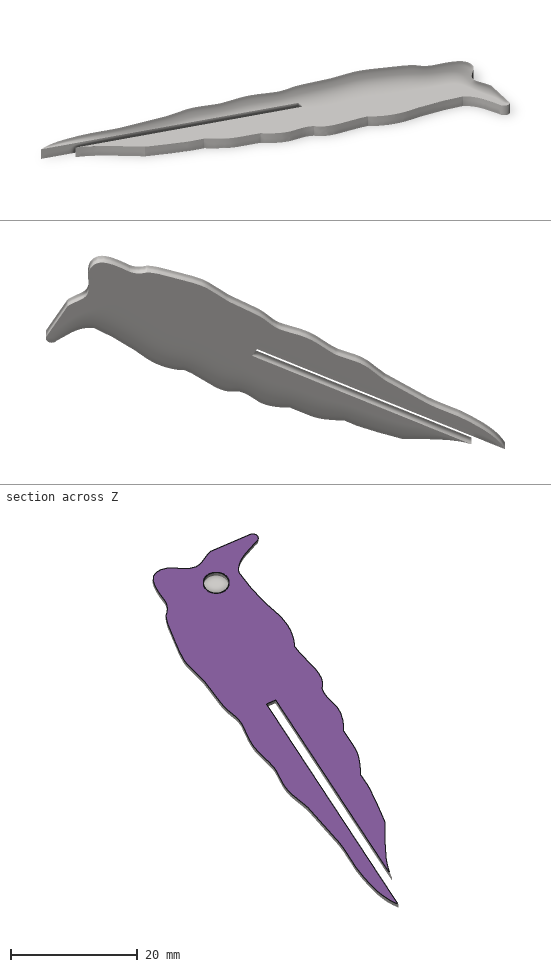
import cadquery as cq


board_width = 21.6
board_length = 75.35
half_width = board_width / 2
half_length = board_length / 2

total_thickness = 1.65
coating_thickness = 0.1
core_thickness = total_thickness - 2 * coating_thickness
core_top = core_thickness / 2
core_bottom = -core_top

slot_left = -3.3
slot_right = -1.7
slot_top = 6.6
left_leg_tip_y = -half_length
right_leg_tip_y = -32.5

pad_width = 4.1
pad_length = 10.0
pad_center_x = slot_right + pad_width / 2
upper_pad_y = 21.9
lower_pad_y = -7.4

eye_center = (0.75, 31.3)
flange_diameter = 4.5
eye_hole_diameter = 4.0
plating_bore_diameter = 3.9
flange_thickness = coating_thickness / 2

left_side = [
    (-4.75, -34.9), (-5.5, -31.65), (-5.9, -27.9), (-5.9, -23.35), (-6.55, -18.1), (-7.15, -13.95),
    (-8.15, -10.7), (-8.4, -8.3), (-8.15, -4.9), (-8.6, -2.5), (-9.05, 0.4), (-8.9, 3.0),
    (-8.7, 6.0), (-9.35, 8.5), (-9.7, 12.4), (-10.0, 15.7), (-half_width, 20.0), (-10.4, 24.1),
    (-9.8, 27.7), (-9.3, 29.4),
]
shoulder_notch = [(-8.5, 30.3), (-8.1, 31.8)]
head_crown = [
    (-8.1, 35.4), (-7.3, 37.15), (-5.8, half_length), (-3.8, 37.0), (-1.65, 35.8), (-0.5, 35.6),
    (0.9, 36.1), (2.9, 37.15),
]
beak_top_end = (9.95, 37.15)
beak_tip = [(half_width, 36.4), (10.0, 35.35)]
beak_underside = [(7.5, 34.15), (5.8, 32.85), (4.9, 31.35)]
back_upper = [
    (5.0, 29.7), (5.4, 26.2), (6.0, 23.2), (6.7, 20.4), (6.7, 17.0), (5.9, 14.55),
]
back_middle = [(6.25, 11.7), (6.7, 9.05), (6.7, 7.0), (5.9, 5.3)]
back_lower = [(5.7, 3.8), (6.25, 0.9), (5.9, -1.65), (5.0, -3.55)]
hip = [(5.0, -5.9), (4.8, -8.7), (4.2, -10.55), (3.3, -12.5)]
right_leg = [(3.3, -15.45), (2.9, -19.2), (2.4, -22.3)]
right_leg_end = [(0.2, -26.6), (-1.1, -29.8), (slot_right, right_leg_tip_y)]
left_curves = [left_side, shoulder_notch, head_crown]
right_curves = [beak_underside, back_upper, back_middle, back_lower, hip, right_leg, right_leg_end]


def board_layer(bottom, thickness):
    """One full sheet of the board outline, with the leg slot left open."""
    outline = cq.Workplane("XY").workplane(offset=bottom).moveTo(slot_left, left_leg_tip_y)
    for curve in left_curves:
        outline = outline.spline(curve, includeCurrent=True)
    outline = outline.lineTo(*beak_top_end)
    outline = outline.threePointArc(*beak_tip)
    for curve in right_curves:
        outline = outline.spline(curve, includeCurrent=True)
    outline = outline.lineTo(slot_right, slot_top).lineTo(slot_left, slot_top).close()
    return outline.extrude(thickness)


def eye_cylinder(diameter, bottom, height):
    """A solid cylinder on the axis of the eye hole."""
    base = cq.Workplane("XY").workplane(offset=bottom).center(*eye_center)
    return base.circle(diameter / 2).extrude(height)


def contact_pad(center_y):
    """A flat rectangular pad lying on the core, as thick as the coating."""
    pad = cq.Workplane("XY").workplane(offset=core_top).center(pad_center_x, center_y)
    return pad.rect(pad_width, pad_length).extrude(coating_thickness)


core = board_layer(core_bottom, core_thickness)
core = core.cut(eye_cylinder(eye_hole_diameter, core_bottom, core_thickness))

lower_flange_bottom = core_bottom - flange_thickness
plating_height = core_thickness + 2 * flange_thickness
plating = eye_cylinder(eye_hole_diameter, core_bottom, core_thickness)
for flange_bottom in (lower_flange_bottom, core_top):
    plating = plating.union(eye_cylinder(flange_diameter, flange_bottom, flange_thickness))
plating = plating.cut(eye_cylinder(plating_bore_diameter, lower_flange_bottom, plating_height))

pads = [contact_pad(center_y) for center_y in (upper_pad_y, lower_pad_y)]

top_coating = board_layer(core_top, coating_thickness)
top_coating = top_coating.cut(eye_cylinder(flange_diameter, core_top, flange_thickness))
for pad in pads:
    top_coating = top_coating.cut(pad)
bottom_coating = board_layer(-total_thickness / 2, coating_thickness)
bottom_coating = bottom_coating.cut(eye_cylinder(flange_diameter, lower_flange_bottom, flange_thickness))

result = cq.Compound.makeCompound(
    [core.val(), plating.val(), top_coating.val(), bottom_coating.val(), *[pad.val() for pad in pads]]
)